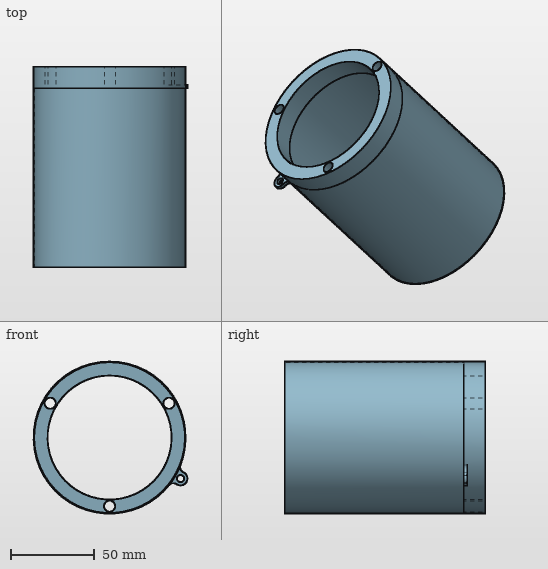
import cadquery as cq
import math

tube_length = 119.84
tube_diameter = 91.0
bore_diameter = 90.0
tube_radius = tube_diameter / 2
mid_wall_diameter = (tube_diameter + bore_diameter) / 2

ring_opening_diameter = 74.0
ring_length = 13.0
ring_front = tube_length - ring_length

ring_hole_diameter = 6.55
ring_hole_count = 3
ring_hole_circle_radius = (bore_diameter + ring_opening_diameter) / 4
first_ring_hole_angle = -90.0

lug_thickness = 2.2
lug_hole_diameter = 4.17
lug_radius = lug_hole_diameter
lug_fillet_radius = 3.475
lug_center_radius = tube_radius + lug_fillet_radius
lug_angle = -30.0


def cylinder_along_y(diameter, start, length, x=0.0, z=0.0):
    """Cylinder running from Y = start towards +Y, centred on (x, z)."""
    axis_direction = cq.Vector(0, 1, 0)
    return cq.Workplane(cq.Solid.makeCylinder(diameter / 2, length, cq.Vector(x, start, z), axis_direction))


def polar_point(radius, angle):
    """(x, z) at the given radius from the tube axis, angle in degrees from +X towards +Z."""
    return radius * math.cos(math.radians(angle)), radius * math.sin(math.radians(angle))


def point_between(start, end, distance):
    """Point at a distance from start on the way to end."""
    fraction = distance / math.dist(start, end)
    return tuple(s + fraction * (e - s) for s, e in zip(start, end))


def make_tube_with_ring():
    tube = cylinder_along_y(tube_diameter, 0, tube_length)
    tube = tube.cut(cylinder_along_y(bore_diameter, 0, tube_length))
    ring = cylinder_along_y(mid_wall_diameter, ring_front, ring_length)
    body = tube.union(ring)
    return body.cut(cylinder_along_y(ring_opening_diameter, ring_front, ring_length))


def cut_ring_holes(body):
    for index in range(ring_hole_count):
        angle = first_ring_hole_angle + index * 360 / ring_hole_count
        x, z = polar_point(ring_hole_circle_radius, angle)
        body = body.cut(cylinder_along_y(ring_hole_diameter, ring_front, ring_length, x, z))
    return body


def make_lug():
    """Round-ended lug on the +X side, blended into the tube by a concave arc on each flank."""
    lug_center = (lug_center_radius, 0.0)
    center_spacing = lug_radius + lug_fillet_radius
    fillet_angle = math.degrees(2 * math.asin(center_spacing / 2 / lug_center_radius))
    fillet_center = polar_point(lug_center_radius, fillet_angle)
    tube_contact = polar_point(tube_radius, fillet_angle)
    lug_contact = point_between(fillet_center, lug_center, lug_fillet_radius)
    contact_middle = tuple((a + b) / 2 for a, b in zip(tube_contact, lug_contact))
    fillet_middle = point_between(fillet_center, contact_middle, lug_fillet_radius)
    root = polar_point(mid_wall_diameter / 2, fillet_angle)

    def mirrored(point):
        return point[0], -point[1]

    lug = (
        cq.Workplane("XZ", origin=(0, ring_front, 0))
        .moveTo(*root)
        .lineTo(*tube_contact)
        .threePointArc(fillet_middle, lug_contact)
        .threePointArc((lug_center_radius + lug_radius, 0), mirrored(lug_contact))
        .threePointArc(mirrored(fillet_middle), mirrored(tube_contact))
        .lineTo(*mirrored(root))
        .threePointArc((mid_wall_diameter / 2, 0), root)
        .close()
        .extrude(-lug_thickness)
    )
    lug = lug.cut(cylinder_along_y(lug_hole_diameter, ring_front, lug_thickness, lug_center_radius))
    return lug.rotate((0, 0, 0), (0, 1, 0), -lug_angle)


result = cut_ring_holes(make_tube_with_ring()).union(make_lug())